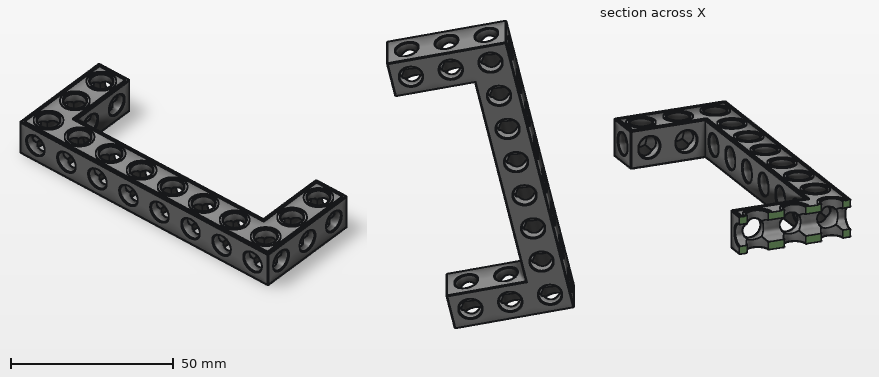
import cadquery as cq

pitch = 12.5
base_cells = 8
arm_cells = 3
hole_diameter = 7.0
hole_chamfer = 0.3
edge_chamfer = 0.3
rim_width = 1.0
ring_diameter = 9.2
recess_depth = 0.2

length = base_cells * pitch
depth = arm_cells * pitch
base_centers = [(i + 0.5) * pitch for i in range(base_cells)]
arm_centers = [(j + 0.5) * pitch for j in range(arm_cells)]
middle = pitch / 2
base_row = [(x, middle) for x in base_centers]
arm_rows = [(x, y) for x in (middle, length - middle) for y in arm_centers[1:]]
vertical_holes = base_row + arm_rows


def u_prism(inset, bottom, height):
    """U-shaped prism whose outline is moved inward by inset."""
    outline = (
        cq.Workplane("XY", origin=(0, 0, bottom))
        .moveTo(inset, inset)
        .lineTo(length - inset, inset)
        .lineTo(length - inset, depth - inset)
        .lineTo(length - pitch + inset, depth - inset)
        .lineTo(length - pitch + inset, pitch - inset)
        .lineTo(pitch - inset, pitch - inset)
        .lineTo(pitch - inset, depth - inset)
        .lineTo(inset, depth - inset)
        .close()
    )
    return outline.extrude(height)


def chamfered_beam():
    """U-shaped bar with every edge chamfered except the two inside corners."""
    bar = u_prism(0, 0, pitch)
    inside_corners = cq.selectors.BoxSelector(
        (middle, middle, 0), (length - middle, depth - middle, pitch)
    )
    outer_uprights = cq.selectors.SubtractSelector(
        cq.selectors.StringSyntaxSelector("|Z"), inside_corners
    )
    bar = bar.edges(outer_uprights).chamfer(edge_chamfer)
    return bar.faces("<Z or >Z").edges().chamfer(edge_chamfer)


def top_recess():
    """Shallow pocket in the top face that leaves a border and hole rings."""
    floor = pitch - recess_depth
    rings = (
        cq.Workplane("XY", origin=(0, 0, floor))
        .pushPoints(vertical_holes)
        .circle(ring_diameter / 2)
        .extrude(recess_depth)
    )
    return u_prism(rim_width, floor, recess_depth).cut(rings)


def through_hole(start, direction, hole_length):
    """Cutter for a straight hole, chamfered at both mouths."""
    radius = hole_diameter / 2
    mouth = radius + hole_chamfer
    profile = (
        cq.Workplane("XZ")
        .moveTo(0, 0)
        .lineTo(mouth, 0)
        .lineTo(radius, hole_chamfer)
        .lineTo(radius, hole_length - hole_chamfer)
        .lineTo(mouth, hole_length)
        .lineTo(0, hole_length)
        .close()
    )
    cutter = profile.revolve(360, (0, 0, 0), (0, 1, 0)).val()
    return cutter.moved(cq.Plane(origin=start, normal=direction).location)


beam = chamfered_beam().cut(top_recess())

for x, y in vertical_holes:
    beam = beam.cut(through_hole((x, y, 0), (0, 0, 1), pitch))

for x in base_centers:
    run = pitch if pitch < x < length - pitch else depth
    beam = beam.cut(through_hole((x, 0, middle), (0, 1, 0), run))

beam = beam.cut(through_hole((0, middle, middle), (1, 0, 0), length))
for y in arm_centers[1:]:
    for arm_start in (0, length - pitch):
        beam = beam.cut(through_hole((arm_start, y, middle), (1, 0, 0), pitch))

result = beam